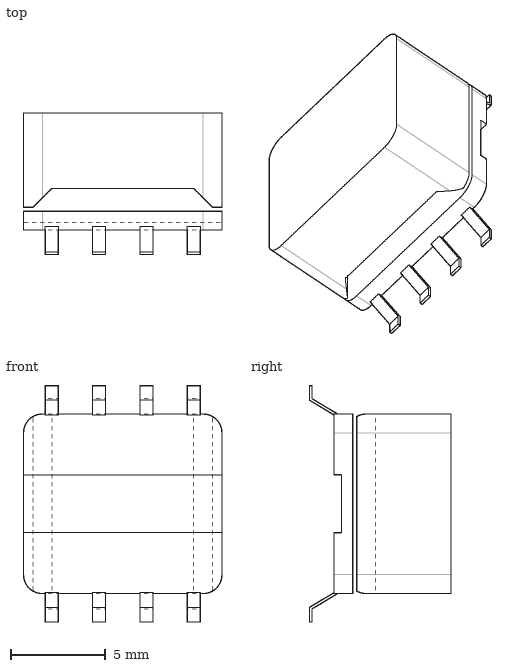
import cadquery as cq
import math

BODY_WIDTH = 10.5
BODY_HEIGHT = 9.5
CORNER_RADIUS = 1.0

OVERALL_DEPTH = 7.5
COVER_DEPTH = 5.0
COVER_GAP = 0.2
BASE_DEPTH = 1.0

WINDOW_DEPTH = 1.0
WINDOW_FLOOR_WIDTH = 7.5
WINDOW_MOUTH_WIDTH = WINDOW_FLOOR_WIDTH + 2 * WINDOW_DEPTH

GROOVE_HEIGHT = 3.05
GROOVE_DEPTH = 0.4

OVERALL_HEIGHT = 12.5
LEADS_PER_SIDE = 4
LEAD_PITCH = 2.5
LEAD_WIDTH = 0.7
LEAD_THICKNESS = 0.15
FOOT_LENGTH = 0.78
LEAD_ANGLE = math.radians(31.0)
LEAD_ROOT = 0.5

foot_front = -OVERALL_DEPTH / 2
cover_back = OVERALL_DEPTH / 2
cover_front = cover_back - COVER_DEPTH
base_back = cover_front - COVER_GAP
base_front = base_back - BASE_DEPTH


def rounded_block(front, depth):
    """Block with rounded corners, from y = front towards +Y."""
    return (
        cq.Workplane("XZ", origin=(0, front, 0))
        .rect(BODY_WIDTH, BODY_HEIGHT)
        .extrude(-depth)
        .edges("|Y")
        .fillet(CORNER_RADIUS)
    )


def make_cover():
    """Block with a trapezoidal window running through it along Z."""
    window_floor = cover_front + WINDOW_DEPTH
    window = (
        cq.Workplane("XY")
        .polyline([
            (-WINDOW_MOUTH_WIDTH / 2, cover_front),
            (WINDOW_MOUTH_WIDTH / 2, cover_front),
            (WINDOW_FLOOR_WIDTH / 2, window_floor),
            (-WINDOW_FLOOR_WIDTH / 2, window_floor),
        ])
        .close()
        .extrude(BODY_HEIGHT / 2, both=True)
    )
    return rounded_block(cover_front, COVER_DEPTH).cut(window)


def make_lead(x):
    """Upper lead centred at x: a sloping strip that ends in a foot along Z."""
    tip = OVERALL_HEIGHT / 2
    foot_back = foot_front + LEAD_THICKNESS
    root = base_front + LEAD_ROOT
    slope = math.tan(LEAD_ANGLE)

    outer_bend = tip - FOOT_LENGTH
    inner_bend = outer_bend + LEAD_THICKNESS * math.tan((math.pi / 2 - LEAD_ANGLE) / 2)
    return (
        cq.Workplane("YZ", origin=(x, 0, 0))
        .polyline([
            (foot_front, tip),
            (foot_front, outer_bend),
            (root, outer_bend - (root - foot_front) * slope),
            (root, inner_bend - (root - foot_back) * slope),
            (foot_back, inner_bend),
            (foot_back, tip),
        ])
        .close()
        .extrude(LEAD_WIDTH / 2, both=True)
    )


def make_base():
    """Grooved plate with a row of leads along its upper and lower edges."""
    groove = cq.Workplane("XY", origin=(0, base_front, 0)).box(
        BODY_WIDTH, GROOVE_DEPTH, GROOVE_HEIGHT, centered=(True, False, True)
    )
    base = rounded_block(base_front, BASE_DEPTH).cut(groove)
    for index in range(LEADS_PER_SIDE):
        lead = make_lead((index - (LEADS_PER_SIDE - 1) / 2) * LEAD_PITCH)
        base = base.union(lead).union(lead.mirror("XY"))
    return base


cover = make_cover()
base_with_leads = make_base()

result = cq.Compound.makeCompound([cover.solids().val(), base_with_leads.solids().val()])